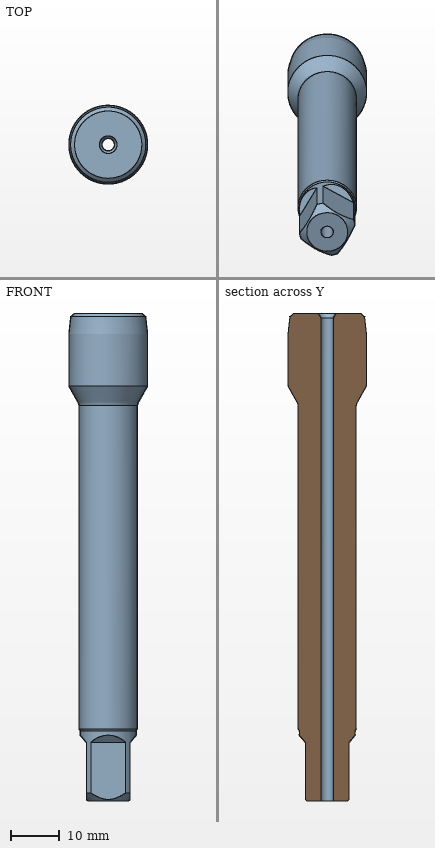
import cadquery as cq

length = 100.0
head_radius = 16.2 / 2
shaft_radius = 12.0 / 2
drive_corner_radius = 11.5 / 2

head_top_radius = 6.9
top_chamfer_radius = 7.7
top_chamfer_z = length - 0.7
barrel_top_z = length - 4.3
barrel_bottom_z = length - 14.9
neck_radius = 6.2
neck_z = length - 18.3
shaft_top_z = length - 18.9

drive_side = 9.0
drive_flat_top_z = 12.0
drive_shoulder_top_z = 13.5
shaft_bottom_z = 14.8
shaft_step_z = 14.4
tip_radius = 4.2
tip_chamfer_height = 1.7

bore_diameter = 2.5
mouth_diameter = 3.6
mouth_angle = 60


def turned_body():
    """Revolve the half outline of the head, shaft and round drive blank about Z."""
    return (
        cq.Workplane("XZ")
        .moveTo(0, 0)
        .lineTo(tip_radius, 0)
        .lineTo(drive_corner_radius, tip_chamfer_height)
        .lineTo(drive_corner_radius, shaft_step_z)
        .lineTo(shaft_radius, shaft_bottom_z)
        .lineTo(shaft_radius, shaft_top_z)
        .lineTo(neck_radius, neck_z)
        .lineTo(head_radius, barrel_bottom_z)
        .lineTo(head_radius, barrel_top_z)
        .lineTo(top_chamfer_radius, top_chamfer_z)
        .lineTo(head_top_radius, length)
        .lineTo(0, length)
        .close()
        .revolve(360, (0, 0, 0), (0, 1, 0))
    )


def drive_flat_cutter():
    """Material outside the +X flat, with a sloped shoulder above it."""
    flat_x = drive_side / 2
    slope = (drive_shoulder_top_z - drive_flat_top_z) / (drive_corner_radius - flat_x)
    outer_x = head_radius
    outer_z = drive_flat_top_z + slope * (outer_x - flat_x)
    return (
        cq.Workplane("XZ")
        .polyline([(flat_x, 0), (outer_x, 0), (outer_x, outer_z), (flat_x, drive_flat_top_z)])
        .close()
        .extrude(head_radius, both=True)
    )


result = turned_body()
for side in range(4):
    result = result.cut(drive_flat_cutter().rotate((0, 0, 0), (0, 0, 1), side * 90))

result = (
    result.faces(">Z")
    .workplane(origin=(0, 0, length))
    .cskHole(bore_diameter, mouth_diameter, mouth_angle)
)